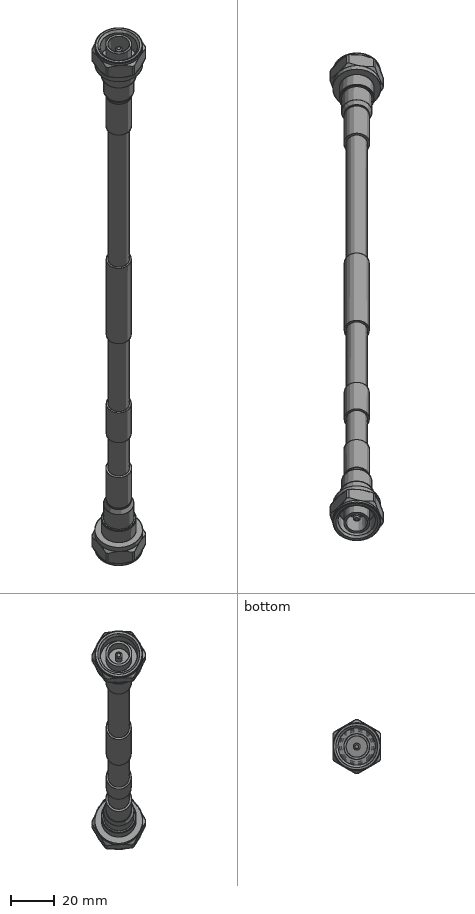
import cadquery as cq

TOTAL_LENGTH = 347.5
HALF_LENGTH = TOTAL_LENGTH / 2

CABLE_DIAMETER = 9.7
SLEEVE_DIAMETER = 11.5
LONG_SLEEVE_LENGTH = 51.8
LONG_SLEEVE_CENTER = 0.0
SHORT_SLEEVE_LENGTH = 20.5
SHORT_SLEEVE_CENTER = -83.7

NUT_ACROSS_FLATS = 22.0
NUT_CORNER_DIAMETER = 24.5
NUT_FRONT_DEPTH = 0.7
NUT_BACK_DEPTH = 13.5
FRONT_RIM_HEIGHT = 1.7
BACK_RIM_HEIGHT = 2.8
CORNER_CHAMFER_HEIGHT = 1.0
FRONT_RIM_CHAMFER = 0.5
NUT_BORE_DIAMETER = 17.0
NUT_BORE_CHAMFER = 1.0

COLLAR_DIAMETER = 16.0
COLLAR_BACK_DEPTH = 21.5
COLLAR_CHAMFER = 0.5
FERRULE_DIAMETER = 14.0
FERRULE_BACK_DEPTH = 31.5
NECK_DIAMETER = 11.5
NECK_FRONT_DEPTH = 33.7
BOOT_DIAMETER = 11.8
BOOT_FRONT_DEPTH = 34.7
BOOT_BACK_DEPTH = 56.0

CONTACT_TUBE_DIAMETER = 11.8
CONTACT_TUBE_BORE = 9.7
SOCKET_DEPTH = 10.5
PIN_DIAMETER = 3.0
PIN_TIP_CHAMFER = 0.7
PIN_TIP_DEPTH = 2.8


def cylinder(diameter, bottom, top):
    """Round bar on the Z axis between two heights."""
    return cq.Workplane("XY").workplane(offset=bottom).circle(diameter / 2).extrude(top - bottom)


def height(depth):
    """Z of a plane that lies this deep behind the upper mating end."""
    return HALF_LENGTH - depth


def make_hexagon(bottom, top):
    """Hexagon with flats facing +/-X, its corners turned round and chamfered at both ends."""
    corner_to_corner = 2 * NUT_ACROSS_FLATS / 3 ** 0.5
    hexagon = (
        cq.Workplane("XY").workplane(offset=bottom)
        .transformed(rotate=(0, 0, 90))
        .polygon(6, corner_to_corner)
        .extrude(top - bottom)
    )
    corner_chamfer_width = (NUT_CORNER_DIAMETER - NUT_ACROSS_FLATS) / 2
    turned = cylinder(NUT_CORNER_DIAMETER, bottom, top)
    turned = turned.faces("<Z or >Z").chamfer(CORNER_CHAMFER_HEIGHT, corner_chamfer_width)
    return hexagon.intersect(turned)


def make_nut():
    """Hexagon between two round rims, open toward the mating end."""
    back = height(NUT_BACK_DEPTH)
    front = height(NUT_FRONT_DEPTH)
    rims = cylinder(NUT_ACROSS_FLATS, back, front)
    rims = rims.faces(">Z").chamfer(FRONT_RIM_CHAMFER)
    hexagon = make_hexagon(back + BACK_RIM_HEIGHT, front - FRONT_RIM_HEIGHT)
    bore = cylinder(NUT_BORE_DIAMETER, height(SOCKET_DEPTH), front)
    nut = rims.union(hexagon).cut(bore)
    bore_mouth = cq.selectors.RadiusNthSelector(0)
    return nut.faces(">Z").edges(bore_mouth).chamfer(NUT_BORE_CHAMFER)


def make_shank():
    """Collar, ferrule, taper, neck and boot, stepping down behind the nut."""
    collar = cylinder(COLLAR_DIAMETER, height(COLLAR_BACK_DEPTH), height(NUT_BACK_DEPTH))
    collar = collar.faces("<Z").chamfer(COLLAR_CHAMFER)
    ferrule = cylinder(FERRULE_DIAMETER, height(FERRULE_BACK_DEPTH), height(COLLAR_BACK_DEPTH))
    taper = (
        cq.Workplane("XY").workplane(offset=height(NECK_FRONT_DEPTH))
        .circle(NECK_DIAMETER / 2)
        .workplane(offset=NECK_FRONT_DEPTH - FERRULE_BACK_DEPTH)
        .circle(FERRULE_DIAMETER / 2)
        .loft()
    )
    neck = cylinder(NECK_DIAMETER, height(BOOT_FRONT_DEPTH), height(NECK_FRONT_DEPTH))
    boot = cylinder(BOOT_DIAMETER, height(BOOT_BACK_DEPTH), height(BOOT_FRONT_DEPTH))
    cable_socket = cylinder(CABLE_DIAMETER, height(BOOT_BACK_DEPTH), height(BOOT_FRONT_DEPTH))
    return collar.union(ferrule).union(taper).union(neck).union(boot.cut(cable_socket))


def make_connector():
    """Upper connector, mating end facing +Z."""
    floor = height(SOCKET_DEPTH)
    tube = cylinder(CONTACT_TUBE_DIAMETER, floor, HALF_LENGTH)
    tube = tube.cut(cylinder(CONTACT_TUBE_BORE, floor, HALF_LENGTH))
    pin = cylinder(PIN_DIAMETER, floor, height(PIN_TIP_DEPTH))
    pin = pin.faces(">Z").chamfer(PIN_TIP_CHAMFER)
    return make_nut().union(make_shank()).union(tube).union(pin)


def make_sleeve(length, center):
    """Thin tube round the cable."""
    bottom = center - length / 2
    top = center + length / 2
    return cylinder(SLEEVE_DIAMETER, bottom, top).cut(cylinder(CABLE_DIAMETER, bottom, top))


cable_end = height(BOOT_FRONT_DEPTH)
cable = cylinder(CABLE_DIAMETER, -cable_end, cable_end)

long_sleeve = make_sleeve(LONG_SLEEVE_LENGTH, LONG_SLEEVE_CENTER)
short_sleeve = make_sleeve(SHORT_SLEEVE_LENGTH, SHORT_SLEEVE_CENTER)

connectors = [make_connector().rotate((0, 0, 0), (1, 0, 0), angle) for angle in (0, 180)]

result = cq.Compound.makeCompound([
    cable.val(),
    long_sleeve.val(),
    short_sleeve.val(),
    *[connector.val() for connector in connectors],
])